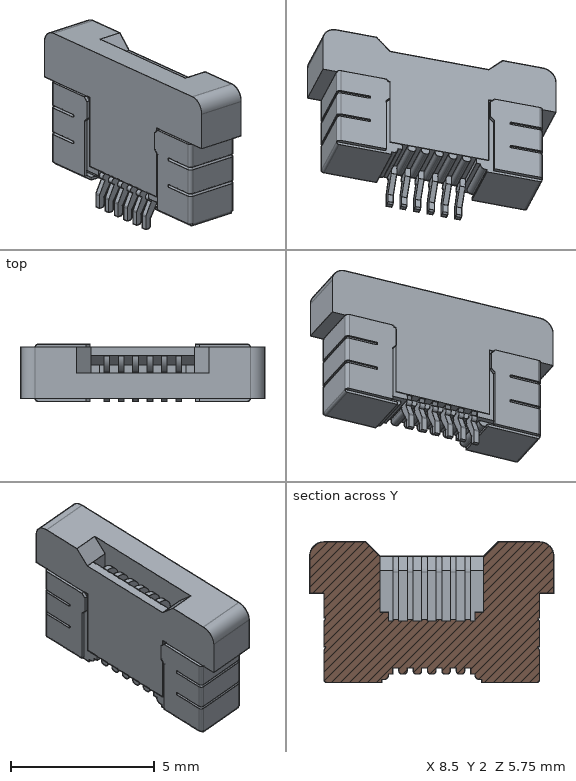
import cadquery as cq


FLANGE_WIDTH = 8.5
TOTAL_HEIGHT = 5.75
FLANGE_HEIGHT = 1.8
FLANGE_BOTTOM = TOTAL_HEIGHT - FLANGE_HEIGHT
FLANGE_CORNER_RADIUS = 0.5
HOUSING_DEPTH = 1.8
STEM_WIDTH = 3.6
STEM_BOTTOM = 1.35

SHELL_DEPTH = 2.0
SHELL_HALF_WIDTH = 3.75
SHEET = 0.12
SHELL_BOTTOM = 0.85
SHELL_INNER_EDGE = 1.97
SHELL_TAB_EDGE = 1.83
SHELL_TAB_BOTTOM = 3.17
SHELL_TAB_CHAMFER = 0.14
BOTTOM_FLAP_EDGE = 1.74
BOTTOM_FLAP_THICKNESS = 0.1
BOTTOM_FLAP_RADIUS = 0.09

GROOVE_HEIGHTS = (2.04, 3.04)
GROOVE_WIDTH = 0.1
GROOVE_FLOOR_ANGLE = 30
GROOVE_END = 2.55

CORE_HALF_WIDTH = SHELL_HALF_WIDTH - SHEET
CORE_DEPTH = SHELL_DEPTH - 2 * SHEET
CORE_BOTTOM = SHELL_BOTTOM + BOTTOM_FLAP_THICKNESS
RELIEF_HALF_WIDTH = 1.5
RELIEF_TOP = 1.14
RELIEF_CORNER_RADIUS = 0.17
FOOT_SETBACK = 0.2
LEAD_RECESS_BACK = -0.6

LEAD_COUNT = 6
LEAD_PITCH = 0.5
LEAD_WIDTH = 0.2
LEAD_POSITIONS = [(i - (LEAD_COUNT - 1) / 2) * LEAD_PITCH for i in range(LEAD_COUNT)]
LEAD_THICKNESS = 0.21
LEAD_FRONT = -SHELL_DEPTH / 2
LEAD_ROOT_FRONT = -0.745
LEAD_ROOT_BACK = -0.4
LEAD_BEND_FRONT = 0.5
LEAD_BEND_BACK = 0.37
LEAD_TIP_CHAMFER = 0.06
LEAD_ROOT_HEIGHT = 1.0
LEAD_NECK_HEIGHT = 1.23
LEAD_NECK_FRONT = -0.74
LEAD_BUMP_FRONT = -0.85
LEAD_BEND_RADIUS = 0.1
LEAD_EMBED = 0.2
LEAD_NOTCH_CORNER_RADIUS = 0.12

MOUTH_DEPTH = 0.5
MOUTH_HALF_WIDTH = 2.3
OPENING_FRONT = 0
OPENING_HALF_WIDTH = MOUTH_HALF_WIDTH - MOUTH_DEPTH
OPENING_TOP = TOTAL_HEIGHT - MOUTH_DEPTH
OPENING_BACK = 0.6
SLOT_BACK = 0.27
SLOT_FLOOR = 3.0
TAPER_BOTTOM = 4.75
SHOULDER_HALF_WIDTH = 1.5
SHOULDER_HEIGHT = 0.3

CONTACT_BACK = 0.58
CONTACT_FRONT = 0.03
CONTACT_TOP = 5.24
CONTACT_RADIUS = CONTACT_BACK - CONTACT_FRONT


def box(x0, x1, y0, y1, z0, z1):
    return cq.Workplane("XY").box(x1 - x0, y1 - y0, z1 - z0, centered=False).translate((x0, y0, z0))


def centred_box(half_width, depth, bottom, top):
    return box(-half_width, half_width, -depth / 2, depth / 2, bottom, top)


def both_ends(body):
    return body.union(body.mirror("YZ"))


def extrude_along_y(profile, depth):
    return profile.extrude(depth / 2, both=True)


def make_housing():
    flange = centred_box(FLANGE_WIDTH / 2, HOUSING_DEPTH, FLANGE_BOTTOM, TOTAL_HEIGHT)
    flange = flange.edges("|Y and >Z").fillet(FLANGE_CORNER_RADIUS)
    stem = centred_box(STEM_WIDTH / 2, HOUSING_DEPTH, STEM_BOTTOM, FLANGE_BOTTOM)
    return flange.union(stem)


def make_core():
    core = centred_box(CORE_HALF_WIDTH, CORE_DEPTH, CORE_BOTTOM, FLANGE_BOTTOM)
    relief = centred_box(RELIEF_HALF_WIDTH, CORE_DEPTH, CORE_BOTTOM, RELIEF_TOP)
    core = core.cut(relief)
    relief_corners = cq.selectors.BoxSelector(
        (-RELIEF_HALF_WIDTH - SHEET, -SHELL_DEPTH, CORE_BOTTOM - SHEET / 2),
        (RELIEF_HALF_WIDTH + SHEET, SHELL_DEPTH, CORE_BOTTOM + SHEET / 2),
    )
    core = core.edges("|Y").edges(relief_corners).fillet(RELIEF_CORNER_RADIUS)

    half_depth = CORE_DEPTH / 2
    foot_front = -half_depth + FOOT_SETBACK
    core = core.cut(box(-CORE_HALF_WIDTH, CORE_HALF_WIDTH, -half_depth, foot_front, CORE_BOTTOM, RELIEF_TOP))
    row_half_width = LEAD_POSITIONS[-1] + LEAD_WIDTH / 2
    core = core.cut(
        box(-row_half_width, row_half_width, -half_depth, LEAD_RECESS_BACK, RELIEF_TOP, STEM_BOTTOM)
    )
    lead_row = centred_box(row_half_width, CORE_DEPTH, RELIEF_TOP, STEM_BOTTOM)
    for x in LEAD_POSITIONS:
        core = core.cut(make_lead_notch(x).intersect(lead_row))
    return core


def make_lead_notch(x):
    """Slot for one lead, flared at its mouth to round the plastic on both sides."""
    half = LEAD_WIDTH / 2
    radius = LEAD_NOTCH_CORNER_RADIUS
    profile = (
        cq.Workplane("XZ")
        .moveTo(x - half, STEM_BOTTOM)
        .lineTo(x - half, RELIEF_TOP + radius)
        .radiusArc((x - half - radius, RELIEF_TOP), radius)
        .lineTo(x + half + radius, RELIEF_TOP)
        .radiusArc((x + half, RELIEF_TOP + radius), radius)
        .lineTo(x + half, STEM_BOTTOM)
        .close()
    )
    return extrude_along_y(profile, CORE_DEPTH)


def make_envelope_outline(z):
    """Plan outline of the shell at the +X end, placed at height z."""
    half_depth = SHELL_DEPTH / 2
    return (
        cq.Workplane("XY", origin=(0, 0, z))
        .moveTo(0, -half_depth)
        .lineTo(SHELL_HALF_WIDTH - SHEET, -half_depth)
        .radiusArc((SHELL_HALF_WIDTH, -half_depth + SHEET), -SHEET)
        .lineTo(SHELL_HALF_WIDTH, half_depth - SHEET)
        .radiusArc((SHELL_HALF_WIDTH - SHEET, half_depth), -SHEET)
        .lineTo(0, half_depth)
        .close()
    )


def make_groove(z):
    """Groove around the shell with rounded ends, its floor sloping inward towards a flat upper wall."""
    radius = GROOVE_WIDTH / 2
    band = make_envelope_outline(z - radius).extrude(GROOVE_WIDTH)
    sloped_floor = make_envelope_outline(z - radius).extrude(GROOVE_WIDTH, taper=GROOVE_FLOOR_ANGLE)
    end_profile = (
        cq.Workplane("XZ")
        .moveTo(SHELL_HALF_WIDTH, z - radius)
        .lineTo(GROOVE_END + radius, z - radius)
        .threePointArc((GROOVE_END, z), (GROOVE_END + radius, z + radius))
        .lineTo(SHELL_HALF_WIDTH, z + radius)
        .close()
    )
    return band.cut(sloped_floor).intersect(extrude_along_y(end_profile, SHELL_DEPTH))


def make_shell():
    edge_step = SHELL_INNER_EDGE - SHELL_TAB_EDGE
    outline = (
        cq.Workplane("XZ")
        .moveTo(SHELL_HALF_WIDTH, CORE_BOTTOM)
        .lineTo(SHELL_INNER_EDGE, CORE_BOTTOM)
        .lineTo(SHELL_INNER_EDGE, SHELL_TAB_BOTTOM - edge_step)
        .lineTo(SHELL_TAB_EDGE, SHELL_TAB_BOTTOM)
        .lineTo(SHELL_TAB_EDGE, FLANGE_BOTTOM - SHELL_TAB_CHAMFER)
        .lineTo(SHELL_TAB_EDGE + SHELL_TAB_CHAMFER, FLANGE_BOTTOM)
        .lineTo(SHELL_HALF_WIDTH, FLANGE_BOTTOM)
        .close()
    )
    envelope = make_envelope_outline(CORE_BOTTOM).extrude(FLANGE_BOTTOM - CORE_BOTTOM)
    wrap = envelope.intersect(extrude_along_y(outline, SHELL_DEPTH))
    core_space = centred_box(CORE_HALF_WIDTH, CORE_DEPTH, CORE_BOTTOM, FLANGE_BOTTOM)
    wrap = wrap.cut(core_space)
    for z in GROOVE_HEIGHTS:
        wrap = wrap.cut(make_groove(z))
    half_depth = CORE_DEPTH / 2
    flap = box(BOTTOM_FLAP_EDGE, SHELL_HALF_WIDTH, -half_depth, half_depth, SHELL_BOTTOM, CORE_BOTTOM)
    flap = flap.edges("|Y and >X and <Z").fillet(BOTTOM_FLAP_RADIUS)
    return wrap.union(flap)


def make_opening():
    """Flared mouth open to the back, and the tapered cable slot below it."""
    mouth = (
        cq.Workplane("XZ", origin=(0, OPENING_FRONT, 0))
        .moveTo(-MOUTH_HALF_WIDTH, TOTAL_HEIGHT)
        .lineTo(-OPENING_HALF_WIDTH, OPENING_TOP)
        .lineTo(OPENING_HALF_WIDTH, OPENING_TOP)
        .lineTo(MOUTH_HALF_WIDTH, TOTAL_HEIGHT)
        .close()
        .extrude(OPENING_FRONT - HOUSING_DEPTH / 2)
    )
    slot_profile = (
        cq.Workplane("YZ")
        .moveTo(OPENING_FRONT, OPENING_TOP)
        .lineTo(OPENING_FRONT, SLOT_FLOOR)
        .lineTo(SLOT_BACK, SLOT_FLOOR)
        .lineTo(SLOT_BACK, TAPER_BOTTOM)
        .lineTo(OPENING_BACK, OPENING_TOP)
        .close()
    )
    slot = slot_profile.extrude(OPENING_HALF_WIDTH, both=True)
    shoulder_top = SLOT_FLOOR + SHOULDER_HEIGHT
    shoulder = box(
        SHOULDER_HALF_WIDTH, OPENING_HALF_WIDTH, OPENING_FRONT, SLOT_BACK, SLOT_FLOOR, shoulder_top
    )
    return mouth.union(slot.cut(both_ends(shoulder)))


def make_contact(x):
    """Contact arm standing in the slot, its top curving down towards the cable."""
    profile = (
        cq.Workplane("YZ", origin=(x, 0, 0))
        .moveTo(OPENING_FRONT, SLOT_FLOOR)
        .lineTo(CONTACT_FRONT, CONTACT_TOP - CONTACT_RADIUS)
        .radiusArc((CONTACT_BACK, CONTACT_TOP), CONTACT_RADIUS)
        .lineTo(CONTACT_BACK, SLOT_FLOOR)
        .close()
    )
    return profile.extrude(LEAD_WIDTH / 2, both=True)


def make_lead(x):
    """Lead with a crimped root, sloping forward out of the core and then turning straight down."""
    back = LEAD_FRONT + LEAD_THICKNESS
    top = STEM_BOTTOM + LEAD_EMBED
    bump_middle = (LEAD_NECK_HEIGHT + LEAD_ROOT_HEIGHT) / 2
    profile = (
        cq.Workplane("YZ", origin=(x, 0, 0))
        .moveTo(LEAD_FRONT, 0)
        .lineTo(LEAD_FRONT, LEAD_BEND_FRONT)
        .lineTo(LEAD_ROOT_FRONT, LEAD_ROOT_HEIGHT)
        .threePointArc((LEAD_BUMP_FRONT, bump_middle), (LEAD_NECK_FRONT, LEAD_NECK_HEIGHT))
        .lineTo(LEAD_BUMP_FRONT, STEM_BOTTOM)
        .lineTo(LEAD_BUMP_FRONT, top)
        .lineTo(LEAD_ROOT_BACK, top)
        .lineTo(LEAD_ROOT_BACK, LEAD_ROOT_HEIGHT)
        .lineTo(back, LEAD_BEND_BACK)
        .lineTo(back, LEAD_TIP_CHAMFER)
        .lineTo(back - LEAD_TIP_CHAMFER, 0)
        .close()
    )
    lead = profile.extrude(LEAD_WIDTH / 2, both=True)
    front_bend = cq.selectors.NearestToPointSelector((x, LEAD_FRONT, LEAD_BEND_FRONT))
    return lead.edges(front_bend).fillet(LEAD_BEND_RADIUS)


result = make_housing().union(make_core()).union(both_ends(make_shell())).cut(make_opening())
for lead_x in LEAD_POSITIONS:
    result = result.union(make_contact(lead_x)).union(make_lead(lead_x))